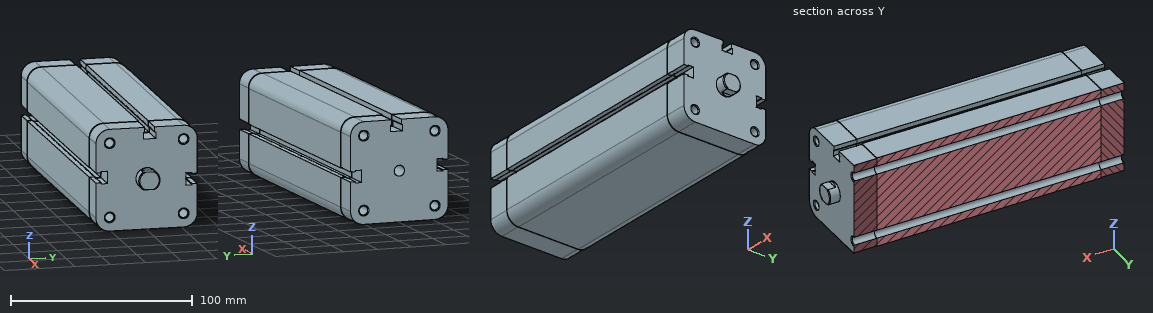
import cadquery as cq

TOTAL_LENGTH = 177.5
TUBE_SIZE = 58.0
TUBE_LENGTH = 141.8
CAP_SIZE = 57.5
CAP_LENGTH = 14.5
CORNER_CENTRE = 21.0

SLOT_SHIFT = 1.69
TUBE_SLOT_FLOOR = 22.5
CAP_SLOT_FLOOR = 22.2
SLOT_SHOULDER = 25.7
TUBE_SLOT_NECK = 5.3
TUBE_SLOT_WIDTH = 6.4
CAP_SLOT_NECK = 5.7
CAP_SLOT_WIDTH = 7.0
SLOT_ANGLES = (-90, 0, 90)

TIE_HOLE_SPACING = 2 * CORNER_CENTRE
TIE_HOLE_DIAMETER = 5.0
TIE_HOLE_CHAMFER = 0.5
PORT_DIAMETER = 6.0

ROD_DIAMETER = 12.0
ROD_FLATS = 10.0
ROD_COLLAR = 1.6
FLAT_RUN_OUT = 0.7
ROD_CHAMFER = 0.5

TUBE_START = CAP_LENGTH
FRONT_CAP_START = TUBE_START + TUBE_LENGTH
FRONT_FACE = FRONT_CAP_START + CAP_LENGTH


def slot_cutter(start, length, neck, width, floor):
    """T-slot in the top side, running along X."""
    outside = TUBE_SIZE / 2
    outline = [
        (SLOT_SHIFT - neck / 2, outside),
        (SLOT_SHIFT - neck / 2, SLOT_SHOULDER),
        (SLOT_SHIFT - width / 2, SLOT_SHOULDER),
        (SLOT_SHIFT - width / 2, floor),
        (SLOT_SHIFT + width / 2, floor),
        (SLOT_SHIFT + width / 2, SLOT_SHOULDER),
        (SLOT_SHIFT + neck / 2, SLOT_SHOULDER),
        (SLOT_SHIFT + neck / 2, outside),
    ]
    return cq.Workplane("YZ", origin=(start, 0, 0)).polyline(outline).close().extrude(length)


def slotted_block(start, length, size, neck, width, floor):
    """Rounded square bar with three T-slots and four tie-rod holes."""
    block = (
        cq.Workplane("YZ", origin=(start, 0, 0))
        .rect(size, size)
        .extrude(length)
        .edges("|X")
        .fillet(size / 2 - CORNER_CENTRE)
    )
    slot = slot_cutter(start, length, neck, width, floor)
    for angle in SLOT_ANGLES:
        block = block.cut(slot.rotate((0, 0, 0), (1, 0, 0), angle))
    holes = (
        cq.Workplane("YZ", origin=(start, 0, 0))
        .rect(TIE_HOLE_SPACING, TIE_HOLE_SPACING, forConstruction=True)
        .vertices()
        .circle(TIE_HOLE_DIAMETER / 2)
        .extrude(length)
    )
    return block.cut(holes)


def axial_cylinder(start, length, diameter):
    return cq.Workplane("YZ", origin=(start, 0, 0)).circle(diameter / 2).extrude(length)


def make_tube():
    return slotted_block(
        TUBE_START, TUBE_LENGTH, TUBE_SIZE,
        TUBE_SLOT_NECK, TUBE_SLOT_WIDTH, TUBE_SLOT_FLOOR,
    )


def make_cap(start, bore_diameter, outer_face):
    """End cap with an axial bore through it and tie-rod holes chamfered at its outer face."""
    cap = slotted_block(
        start, CAP_LENGTH, CAP_SIZE,
        CAP_SLOT_NECK, CAP_SLOT_WIDTH, CAP_SLOT_FLOOR,
    )
    cap = (
        cap.faces(outer_face)
        .edges("%CIRCLE")
        .edges(cq.selectors.RadiusNthSelector(0))
        .chamfer(TIE_HOLE_CHAMFER)
    )
    return cap.cut(axial_cylinder(start, CAP_LENGTH, bore_diameter))


def make_rod():
    """Rod filling the front cap bore, with a chamfered tip and two wrench flats."""
    rod = (
        axial_cylinder(FRONT_CAP_START, TOTAL_LENGTH - FRONT_CAP_START, ROD_DIAMETER)
        .faces(">X")
        .chamfer(ROD_CHAMFER)
    )
    flat_start = FRONT_FACE + ROD_COLLAR
    flat_relief = (
        cq.Workplane("XZ")
        .polyline([
            (flat_start - FLAT_RUN_OUT, ROD_DIAMETER / 2),
            (flat_start, ROD_FLATS / 2),
            (TOTAL_LENGTH, ROD_FLATS / 2),
            (TOTAL_LENGTH, ROD_DIAMETER / 2),
        ])
        .close()
        .extrude(ROD_DIAMETER / 2, both=True)
    )
    return rod.cut(flat_relief).cut(flat_relief.mirror("XY"))


tube = make_tube()
rear_cap = make_cap(0, PORT_DIAMETER, "<X")
front_cap = make_cap(FRONT_CAP_START, ROD_DIAMETER, ">X")
rod = make_rod()

result = cq.Compound.makeCompound([tube.val(), rear_cap.val(), front_cap.val(), rod.val()])